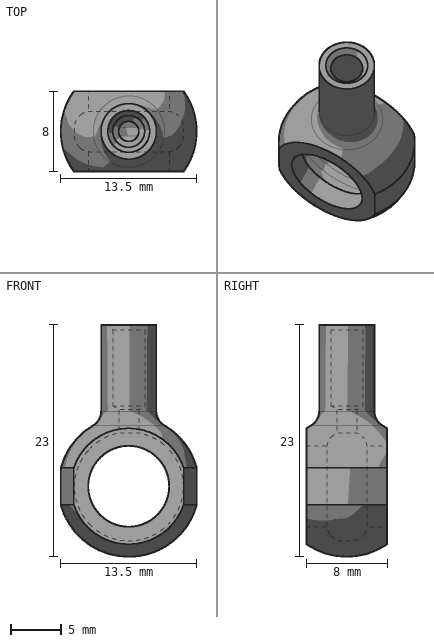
import cadquery as cq
import math

ball_radius = 7.0
waist_diameter = 13.5
head_thickness = 8.0

bore_radius = 4.0
groove_depth = 1.4
groove_mouth_width = 4.0
groove_corner_radius = 1.6

stem_radius = 5.5 / 2
stem_top = 16.0
neck_fillet = 1.6

inlet_radius = 3.15 / 2
inlet_depth = 8.0
inlet_chamfer = 0.5
passage_radius = 2.0 / 2
drill_tip_angle = 118.0


def polar_point(radius, angle):
    """Point at the given radius and angle (in radians) from the origin of a profile."""
    return (radius * math.cos(angle), radius * math.sin(angle))


def make_turned_body():
    """Ball with a cylindrical waist, flowing through a concave neck into the stem."""
    waist_radius = waist_diameter / 2
    waist_half_height = math.sqrt(ball_radius**2 - waist_radius**2)

    neck_centre_r = stem_radius + neck_fillet
    neck_centre_distance = ball_radius + neck_fillet
    neck_centre_z = math.sqrt(neck_centre_distance**2 - neck_centre_r**2)

    neck_foot_angle = math.atan2(neck_centre_z, neck_centre_r)
    neck_foot = polar_point(ball_radius, neck_foot_angle)

    neck_middle_r, neck_middle_z = polar_point(neck_fillet, neck_foot_angle / 2)
    neck_middle = (neck_centre_r - neck_middle_r, neck_centre_z - neck_middle_z)

    waist_angle = math.atan2(waist_half_height, waist_radius)
    lower_ball_middle = polar_point(ball_radius, -(math.pi / 2 + waist_angle) / 2)
    upper_ball_middle = polar_point(ball_radius, (waist_angle + neck_foot_angle) / 2)

    return (
        cq.Workplane("XZ")
        .moveTo(0, -ball_radius)
        .threePointArc(lower_ball_middle, (waist_radius, -waist_half_height))
        .lineTo(waist_radius, waist_half_height)
        .threePointArc(upper_ball_middle, neck_foot)
        .threePointArc(neck_middle, (stem_radius, neck_centre_z))
        .lineTo(stem_radius, stem_top)
        .lineTo(0, stem_top)
        .close()
        .revolve(360, (0, 0, 0), (0, 1, 0))
    )


def make_slab():
    """Block between the two flat faces of the head, tall enough to hold the whole part."""
    return cq.Workplane("XY").box(2 * ball_radius, head_thickness, 2 * stem_top)


def make_cross_bore():
    """Through bore along Y plus its groove, whose rounded flanks blend into the floor."""
    bore = cq.Workplane("XZ").circle(bore_radius).extrude(head_thickness / 2, both=True)

    floor_radius = bore_radius + groove_depth
    flank_base = floor_radius - groove_corner_radius
    arc_reach_at_mouth = math.sqrt(groove_corner_radius**2 - (bore_radius - flank_base)**2)
    half_floor = groove_mouth_width / 2 - arc_reach_at_mouth
    half_width = half_floor + groove_corner_radius
    diagonal = groove_corner_radius * math.sqrt(0.5)
    middle_r = flank_base + diagonal
    middle_y = half_floor + diagonal
    groove = (
        cq.Workplane("XY")
        .moveTo(0, -half_width)
        .lineTo(flank_base, -half_width)
        .threePointArc((middle_r, -middle_y), (floor_radius, -half_floor))
        .lineTo(floor_radius, half_floor)
        .threePointArc((middle_r, middle_y), (flank_base, half_width))
        .lineTo(0, half_width)
        .close()
        .revolve(360, (0, 0, 0), (0, 1, 0))
    )
    return bore.union(groove)


def make_stem_passage():
    """Chamfered inlet, drill-point shoulder and narrow passage into the cross bore."""
    shoulder_z = stem_top - inlet_depth
    shoulder_height = (inlet_radius - passage_radius) / math.tan(math.radians(drill_tip_angle / 2))
    return (
        cq.Workplane("XZ")
        .lineTo(passage_radius, 0)
        .lineTo(passage_radius, shoulder_z - shoulder_height)
        .lineTo(inlet_radius, shoulder_z)
        .lineTo(inlet_radius, stem_top - inlet_chamfer)
        .lineTo(inlet_radius + inlet_chamfer, stem_top)
        .lineTo(0, stem_top)
        .close()
        .revolve(360, (0, 0, 0), (0, 1, 0))
    )


body = make_turned_body().intersect(make_slab())
result = body.cut(make_cross_bore()).cut(make_stem_passage())